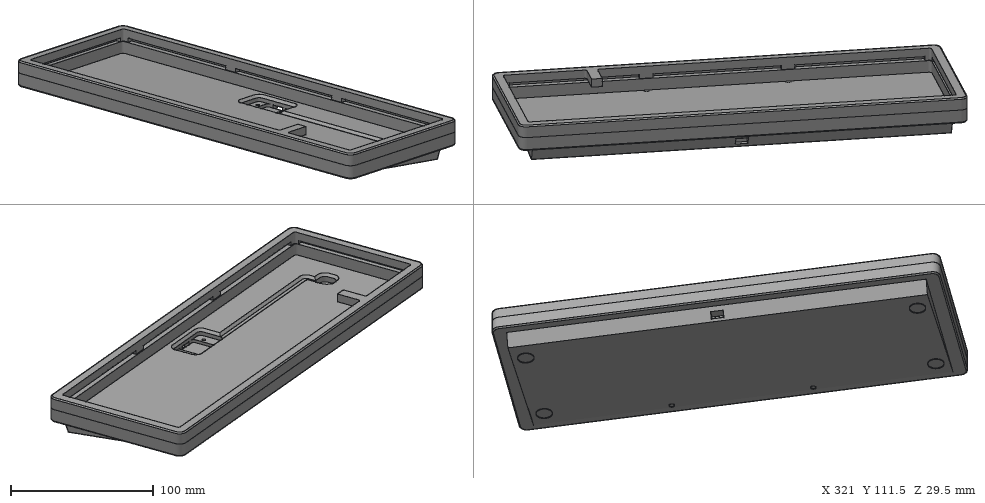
import cadquery as cq
import math

LENGTH = 321.0
WIDTH = 111.5
HEIGHT = 29.5
WEDGE_HEIGHT = 10.5
FRAME_HEIGHT = 9.0
CORNER_RADIUS = 5.5
EDGE_CHAMFER = 1.0

JOINT_Z = HEIGHT - FRAME_HEIGHT
BOX_BOTTOM_Z = WEDGE_HEIGHT

OPENING_LENGTH = 306.2
OPENING_WIDTH = 97.3
OPENING_RADIUS = 1.5
TONGUE_X = 89.5
TONGUE_WIDTH = 7.7
TONGUE_REACH = 19.0
TONGUE_FILLET = 1.5
LIP_HEIGHT = 6.0
RECESS_DEPTH = 4.0
POST_LENGTH = 4.5
SIDE_POST_LENGTH = 3.2
TAB_X = 50.7
TAB_WIDTH = 9.5

CAVITY_WIDTH = 95.5
CAVITY_RADIUS = 2.2
FLOOR_Z = 12.0

WEDGE_LENGTH = 300.5
WEDGE_FRONT_Y = -50.7
WEDGE_LOW_Y = 45.3
WEDGE_BACK_Y = 49.8

FLARE_WIDTH = 2.0
FLARE_ANGLE = 45.0
BOARD_LENGTH = 35.5
BOARD_BACK_Y = 42.5
BOARD_FRONT_Y = 21.8
BOARD_RADIUS = 3.2
BOARD_DEPTH = 4.8
STEP_LENGTH = 18.5
STEP_RADIUS = 2.0
STEP_DEPTH = 2.2
BOARD_SCREW_X = 12.5
BOARD_SCREW_Y = 35.3
BOARD_SCREW_DIAMETER = 2.5
BOARD_SCREW_DEPTH = 2.0
PORT_WIDTH = 9.0
PORT_HEIGHT = 4.8
CHANNEL_WIDTH = 3.0
CHANNEL_RADIUS = 3.2
CHANNEL_DEPTH = FLARE_WIDTH
WELL_SIZE = 13.0
WELL_LEFT_X = 125.8
WELL_BACK_Y = 15.7
WELL_RADIUS = 4.5
WELL_DEPTH = 6.0

FOOT_X = 140.3
FOOT_YS = (-38.5, 30.2)
FOOT_DIAMETER = 11.5
FOOT_DEPTH = 0.5
SCREW_Y = -48.0
SCREW_DIAMETER = 4.0
SCREW_ROOF = 0.5


def block(x0, x1, y0, y1, z0, z1):
    """Axis-aligned box between two corners."""
    return cq.Workplane("XY").box(x1 - x0, y1 - y0, z1 - z0, centered=False).translate((x0, y0, z0))


def rounded_block(length, width, radius, z0, z1, center=(0, 0)):
    """Box with rounded vertical edges."""
    solid = cq.Workplane("XY").box(length, width, z1 - z0, centered=(True, True, False))
    return solid.edges("|Z").fillet(radius).translate((center[0], center[1], z0))


def long_wall_recesses():
    """Gasket recesses in the back wall, between posts and tabs."""
    end = OPENING_LENGTH / 2 - POST_LENGTH
    tab_outer = TAB_X + TAB_WIDTH / 2
    tab_inner = TAB_X - TAB_WIDTH / 2
    recesses = cq.Workplane("XY")
    for x0, x1 in ((-end, -tab_outer), (-tab_inner, tab_inner), (tab_outer, end)):
        recess = block(x0, x1, 0, OPENING_WIDTH / 2 + RECESS_DEPTH, JOINT_Z, HEIGHT - LIP_HEIGHT)
        recesses = recesses.add(recess)
    return recesses.combine()


def make_frame():
    """Upper frame with its tongue and the gasket recesses under its lip."""
    frame = rounded_block(LENGTH, WIDTH, CORNER_RADIUS, JOINT_Z, HEIGHT)
    frame = frame.faces(">Z").edges().chamfer(EDGE_CHAMFER)
    opening = rounded_block(OPENING_LENGTH, OPENING_WIDTH, OPENING_RADIUS, JOINT_Z, HEIGHT)
    tongue_y = -OPENING_WIDTH / 2
    tongue = block(TONGUE_X - TONGUE_WIDTH / 2, TONGUE_X + TONGUE_WIDTH / 2,
                   tongue_y, tongue_y + TONGUE_REACH, JOINT_Z, HEIGHT)
    opening = opening.cut(tongue)
    base = TONGUE_WIDTH / 2 + TONGUE_FILLET
    root = cq.selectors.BoxSelector((TONGUE_X - base, tongue_y - TONGUE_FILLET, JOINT_Z),
                                    (TONGUE_X + base, tongue_y + TONGUE_FILLET, HEIGHT))
    opening = opening.edges("|Z").edges(root).fillet(TONGUE_FILLET)
    frame = frame.cut(opening)

    back = long_wall_recesses()
    side_y = OPENING_WIDTH / 2 - SIDE_POST_LENGTH
    side_x = OPENING_LENGTH / 2 + RECESS_DEPTH
    sides = block(-side_x, side_x, -side_y, side_y, JOINT_Z, HEIGHT - LIP_HEIGHT)
    return frame.cut(back).cut(back.mirror("XZ")).cut(sides)


def wedge():
    """Tilting wedge, reaching up into the tray floor."""
    profile = [(WEDGE_FRONT_Y, BOX_BOTTOM_Z), (WEDGE_LOW_Y, 0), (WEDGE_BACK_Y, BOX_BOTTOM_Z),
               (WEDGE_BACK_Y, FLOOR_Z), (WEDGE_FRONT_Y, FLOOR_Z)]
    return cq.Workplane("YZ").polyline(profile).close().extrude(WEDGE_LENGTH / 2, both=True)


def make_tray():
    """Lower tray with its wedge, floor pockets and underside holes."""
    tray = rounded_block(LENGTH, WIDTH, CORNER_RADIUS, BOX_BOTTOM_Z, JOINT_Z)
    tray = tray.faces("<Z").edges().chamfer(EDGE_CHAMFER)
    tray = tray.union(wedge())
    tray = tray.cut(rounded_block(OPENING_LENGTH, CAVITY_WIDTH, CAVITY_RADIUS, FLOOR_Z, JOINT_Z))
    return cut_underside(cut_floor(tray))


def flared_pocket(outline, depth):
    """Pocket cutter below the tray floor: straight walls, then a flare that widens up to the floor."""
    plane = cq.Workplane("XY")
    straight = plane.placeSketch(outline).extrude(depth).translate((0, 0, FLOOR_Z - depth))
    flare = plane.placeSketch(outline).extrude(FLARE_WIDTH, taper=-FLARE_ANGLE)
    return straight.union(flare.translate((0, 0, FLOOR_Z - FLARE_WIDTH)))


def rounded_outline(x0, x1, y0, y1, radius):
    """Flat rectangle with rounded corners."""
    corners = [(x0, y0), (x1, y0), (x1, y1), (x0, y1), (x0, y0)]
    return cq.Sketch().polygon(corners).vertices().fillet(radius)


def channel_outline(left, right, front, back, end):
    """Flat L shape: along X from the pocket, then a rounded turn towards the front."""
    corners = [(0, front), (left, front), (left, end), (right, end), (right, back), (0, back), (0, front)]
    return cq.Sketch().polygon(corners).vertices(">X and >Y").fillet(CHANNEL_RADIUS)


def cut_floor(tray):
    """Daughterboard pocket, connector well and the cable channel that links them."""
    board_x = BOARD_LENGTH / 2
    board = rounded_outline(-board_x, board_x, BOARD_FRONT_Y, BOARD_BACK_Y, BOARD_RADIUS)
    well = rounded_outline(WELL_LEFT_X, WELL_LEFT_X + WELL_SIZE, WELL_BACK_Y - WELL_SIZE, WELL_BACK_Y, WELL_RADIUS)
    channel = channel_outline(WELL_LEFT_X, WELL_LEFT_X + CHANNEL_WIDTH, BOARD_FRONT_Y,
                              BOARD_FRONT_Y + CHANNEL_WIDTH, WELL_BACK_Y - WELL_SIZE / 2)
    tray = tray.cut(flared_pocket(board, BOARD_DEPTH))
    tray = tray.cut(flared_pocket(well, WELL_DEPTH))
    tray = tray.cut(flared_pocket(channel, CHANNEL_DEPTH))

    board_z = FLOOR_Z - BOARD_DEPTH
    step = rounded_block(STEP_LENGTH, BOARD_BACK_Y - BOARD_FRONT_Y, STEP_RADIUS, board_z - STEP_DEPTH, board_z,
                         (0, (BOARD_BACK_Y + BOARD_FRONT_Y) / 2))
    screws = (cq.Workplane("XY", origin=(0, BOARD_SCREW_Y, board_z - BOARD_SCREW_DEPTH))
              .pushPoints([(-BOARD_SCREW_X, 0), (BOARD_SCREW_X, 0)])
              .circle(BOARD_SCREW_DIAMETER / 2).extrude(BOARD_SCREW_DEPTH))
    port = block(-PORT_WIDTH / 2, PORT_WIDTH / 2, BOARD_BACK_Y, WEDGE_BACK_Y,
                 board_z - PORT_HEIGHT, board_z)
    return tray.cut(step).cut(screws).cut(port)


def cut_underside(tray):
    """Foot recesses in the sloping face and the screw holes under the front tabs."""
    run = WEDGE_LOW_Y - WEDGE_FRONT_Y
    slope = math.degrees(math.atan2(WEDGE_HEIGHT, run))
    for x in (-FOOT_X, FOOT_X):
        for y in FOOT_YS:
            z = WEDGE_HEIGHT * (WEDGE_LOW_Y - y) / run
            foot = cq.Workplane("XY").circle(FOOT_DIAMETER / 2).extrude(FOOT_DEPTH, both=True)
            foot = foot.rotate((0, 0, 0), (1, 0, 0), -slope).translate((x, y, z))
            tray = tray.cut(foot)
    screws = (cq.Workplane("XY", origin=(0, SCREW_Y, 0))
              .pushPoints([(-TAB_X, 0), (TAB_X, 0)])
              .circle(SCREW_DIAMETER / 2).extrude(FLOOR_Z - SCREW_ROOF))
    return tray.cut(screws)


frame = make_frame()
tray = make_tray()
result = cq.Compound.makeCompound([frame.val(), tray.val()])